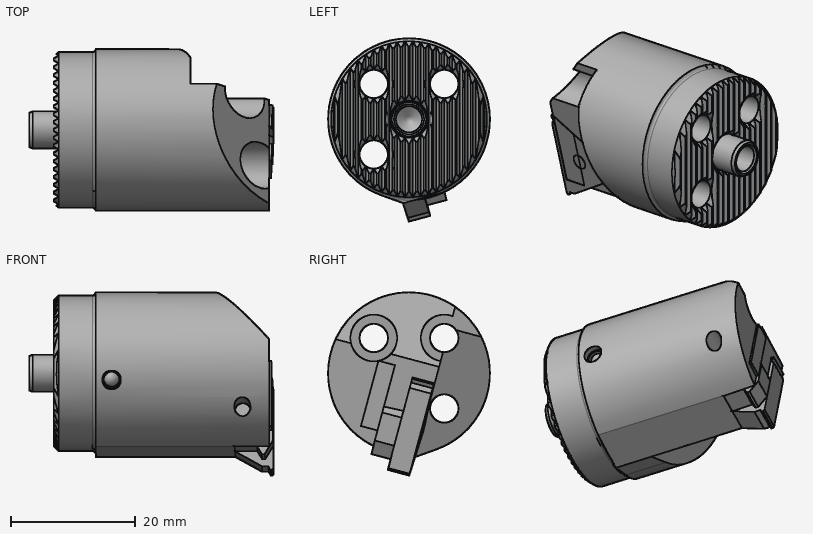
import cadquery as cq
import math

TOOTH_CREST_X = 3.93
COLLAR_EDGE_X = 10.15
BODY_START_X = 10.72
BODY_END_X = 38.52
CLEAR_X = 41.25

BODY_RADIUS = 13.0
COLLAR_RADIUS = 25.0 / 2
SECTION_TILT = 15.0
RAKE_V = 4.4
UNDERSIDE_U = -12.75

TOOTH_PITCH = 1.25
TOOTH_CREST_WIDTH = 0.3
TOOTH_FLANK_ANGLE = 30.0
TOOTH_DEPTH = (TOOTH_PITCH - TOOTH_CREST_WIDTH) / 2 / math.tan(math.radians(TOOTH_FLANK_ANGLE))
TOOTH_ROOT_X = TOOTH_CREST_X + TOOTH_DEPTH

POCKET_END_X = 25.9
POCKET_END_U = 8.65
POCKET_RAMP_ANGLE = 22.5
SLOPE_START_X = 29.5
SLOPE_ANGLE = 50.0

BOLT_OFFSET = 5.65
BOLT_HOLE_DIAMETER = 4.5
COUNTERBORE_DIAMETER = 7.5

PIN_DIAMETER = 6.0
PIN_TIP_DIAMETER = 5.5
PIN_CHAMFER_LENGTH = 0.55
PIN_BORE_DIAMETER = 4.2
PIN_MOUTH_DIAMETER = 4.83
PIN_BORE_DEPTH = 7.85
PIN_BORE_CONE = 118.0
PIN_SEAT_X = 11.8

PLUG_X = 13.25
PLUG_TILT = 4.9
PLUG_MOUTH_DIAMETER = 3.0
PLUG_DIAMETER = 2.5
PLUG_TOP_RADIUS = 11.98
PLUG_LENGTH = 3.93
PLUG_MOUTH_DEPTH = 1.18

SEAT_X = 34.6
SEAT_U = -8.2
LEAD_ANGLE = 1.5
INSCRIBED_RADIUS = 4.67
INSERT_THICKNESS = 3.57
SHIM_THICKNESS = 3.22
SEAT_PAD_THICKNESS = 2.75
SEAT_PAD_REACH = 4.5
SEAT_PAD_HALF_LENGTH = 5.4
SEAT_PAD_CENTRE_U = 3.45
CORNER_COUNT = 3

SCREW_DIAMETER = 2.5
SCREW_LENGTH = 11.65
SCREW_ACCESS_DIAMETER = 2.6


def tan_deg(angle):
    return math.tan(math.radians(angle))


TILT_COS = math.cos(math.radians(SECTION_TILT))
TILT_SIN = math.sin(math.radians(SECTION_TILT))
V_DIRECTION = cq.Vector(0, TILT_COS, -TILT_SIN)


def cross_section(x):
    """Workplane across the axis, in the tilted directions V and U."""
    return cq.Workplane(cq.Plane(origin=(x, 0, 0), xDir=V_DIRECTION, normal=(1, 0, 0)))


def side_plane(v):
    """Workplane in the directions X and U, facing away from the rake side."""
    return cq.Workplane(cq.Plane(origin=V_DIRECTION * v, xDir=(1, 0, 0), normal=V_DIRECTION * -1))


def seat_plane(depth):
    """Workplane parallel to the insert's top face, at a depth below it."""
    centre = V_DIRECTION * RAKE_V + cq.Vector(SEAT_X, SEAT_U * TILT_SIN, SEAT_U * TILT_COS)
    plane = cq.Plane(origin=centre, xDir=(1, 0, 0), normal=V_DIRECTION * -1)
    return cq.Workplane(plane.rotated((0, -LEAD_ANGLE, 0))).workplane(offset=depth)



def make_turned_blank():
    """Collar and body turned about X, with a concave blend between them."""
    return (
        cq.Workplane("XY")
        .moveTo(TOOTH_CREST_X, 0)
        .lineTo(TOOTH_CREST_X, COLLAR_RADIUS - TOOTH_DEPTH)
        .lineTo(TOOTH_ROOT_X, COLLAR_RADIUS)
        .lineTo(COLLAR_EDGE_X, COLLAR_RADIUS)
        .tangentArcPoint((BODY_START_X, BODY_RADIUS), relative=False)
        .lineTo(BODY_END_X, BODY_RADIUS)
        .lineTo(BODY_END_X, 0)
        .close()
        .revolve(360, (0, 0, 0), (1, 0, 0))
    )


def make_heel():
    """Keel that fills the corner between the body, the rake face and the underside."""
    corner_distance = math.hypot(RAKE_V, UNDERSIDE_U)
    corner_angle = math.atan2(UNDERSIDE_U, RAKE_V)
    tangent_angle = corner_angle + math.acos(BODY_RADIUS / corner_distance)
    tangent_point = (BODY_RADIUS * math.cos(tangent_angle), BODY_RADIUS * math.sin(tangent_angle))
    underside_edge_v = -math.sqrt(BODY_RADIUS**2 - UNDERSIDE_U**2)
    return (
        cross_section(BODY_START_X)
        .polyline([(0, 0), tangent_point, (RAKE_V, UNDERSIDE_U), (underside_edge_v, UNDERSIDE_U)])
        .close()
        .extrude(BODY_END_X - BODY_START_X)
    )


def make_seat_pad():
    """Low pad behind the shim that stands out of the nose face."""
    return (
        seat_plane(INSERT_THICKNESS + SHIM_THICKNESS)
        .center(0, SEAT_PAD_CENTRE_U)
        .rect(2 * SEAT_PAD_REACH, 2 * SEAT_PAD_HALF_LENGTH)
        .extrude(SEAT_PAD_THICKNESS)
    )


def make_below_underside():
    """Sliver of the round body that lies below the flat underside."""
    return (
        cross_section(BODY_START_X)
        .center(0, UNDERSIDE_U - BODY_RADIUS / 2)
        .rect(2 * BODY_RADIUS, BODY_RADIUS)
        .extrude(BODY_END_X - BODY_START_X)
    )



def make_serrations():
    """V grooves along Z that leave a tooth crest on the axis."""
    groove_count = 2 * math.ceil(COLLAR_RADIUS / TOOTH_PITCH)
    groove_half_width = (TOOTH_PITCH - TOOTH_CREST_WIDTH) / 2
    centres = [(0, (i - (groove_count - 1) / 2) * TOOTH_PITCH) for i in range(groove_count)]
    groove = (
        cq.Workplane("XY")
        .polyline([
            (TOOTH_CREST_X, -groove_half_width),
            (TOOTH_ROOT_X, 0),
            (TOOTH_CREST_X, groove_half_width),
        ])
        .close()
        .extrude(COLLAR_RADIUS, both=True)
        .val()
    )
    return cq.Workplane("XY").pushPoints(centres).eachpoint(lambda place: groove.moved(place))


def make_face_hole(y, z, diameter, end_x):
    """Hole from the serrated face, with a 45 degree countersink as deep as the teeth."""
    radius = diameter / 2
    return (
        cq.Workplane(cq.Plane(origin=(0, y, z), xDir=(1, 0, 0), normal=(0, 0, 1)))
        .polyline([
            (TOOTH_CREST_X, 0),
            (TOOTH_CREST_X, radius + TOOTH_DEPTH),
            (TOOTH_ROOT_X, radius),
            (end_x, radius),
            (end_x, 0),
        ])
        .close()
        .revolve(360, (0, 0, 0), (1, 0, 0))
    )


def make_counterbore(y, z):
    """Recess that runs from the pocket end out through the nose."""
    return (
        cq.Workplane("YZ", origin=(POCKET_END_X, y, z))
        .circle(COUNTERBORE_DIAMETER / 2)
        .extrude(CLEAR_X - POCKET_END_X)
    )


def make_chip_pocket():
    """Everything above the rake face, from a ramped end to the nose."""
    bottom_u = -2 * BODY_RADIUS
    top_u = 2 * BODY_RADIUS
    ramp_foot_x = POCKET_END_X - (POCKET_END_U - bottom_u) * tan_deg(POCKET_RAMP_ANGLE)
    return (
        side_plane(RAKE_V)
        .polyline([
            (ramp_foot_x, bottom_u),
            (POCKET_END_X, POCKET_END_U),
            (POCKET_END_X, top_u),
            (CLEAR_X, top_u),
            (CLEAR_X, bottom_u),
        ])
        .close()
        .extrude(-2 * BODY_RADIUS)
    )


def make_nose_slope():
    """Wedge that slopes the top of the body down to the nose."""
    drop = (BODY_END_X - SLOPE_START_X) * tan_deg(SLOPE_ANGLE)
    return (
        side_plane(0)
        .polyline([
            (SLOPE_START_X, BODY_RADIUS),
            (BODY_END_X, BODY_RADIUS),
            (BODY_END_X, BODY_RADIUS - drop),
        ])
        .close()
        .extrude(BODY_RADIUS, both=True)
    )



def make_pin():
    """Centre pin with a chamfered tip and a blind bore chamfered at its mouth."""
    radius = PIN_DIAMETER / 2
    bore_radius = PIN_BORE_DIAMETER / 2
    mouth_chamfer = PIN_MOUTH_DIAMETER / 2 - bore_radius
    cone_length = bore_radius / tan_deg(PIN_BORE_CONE / 2)
    return (
        cq.Workplane("XY")
        .polyline([
            (mouth_chamfer, bore_radius),
            (0, PIN_MOUTH_DIAMETER / 2),
            (0, PIN_TIP_DIAMETER / 2),
            (PIN_CHAMFER_LENGTH, radius),
            (PIN_SEAT_X, radius),
            (PIN_SEAT_X, 0),
            (PIN_BORE_DEPTH + cone_length, 0),
            (PIN_BORE_DEPTH, bore_radius),
        ])
        .close()
        .revolve(360, (0, 0, 0), (1, 0, 0))
    )


def plug_plane(radius):
    """Workplane facing outward along the plug bore, at a distance from the head axis."""
    tilt = math.radians(PLUG_TILT)
    outward = cq.Vector(0, -math.cos(tilt), -math.sin(tilt))
    centre = outward * radius + cq.Vector(PLUG_X, 0, 0)
    return cq.Workplane(cq.Plane(origin=centre, xDir=(1, 0, 0), normal=outward))


def make_plug():
    """Plug that ends in a half ball."""
    ball_radius = PLUG_DIAMETER / 2
    shoulder = plug_plane(PLUG_TOP_RADIUS - ball_radius)
    return shoulder.circle(ball_radius).extrude(-PLUG_LENGTH).union(shoulder.sphere(ball_radius))


def make_plug_bore():
    """Bore that fits the plug and widens just inside the body's surface."""
    ball_base = PLUG_TOP_RADIUS - PLUG_DIAMETER / 2
    foot = plug_plane(ball_base - PLUG_LENGTH)
    bore = foot.circle(PLUG_DIAMETER / 2).extrude(BODY_RADIUS - ball_base + PLUG_LENGTH)
    mouth = plug_plane(BODY_RADIUS - PLUG_MOUTH_DEPTH)
    return bore.union(mouth.circle(PLUG_MOUTH_DIAMETER / 2).extrude(PLUG_MOUTH_DEPTH))


def lower_edge_x(u):
    """X, from the seat centre, where the triangle's lower left edge reaches level u."""
    half_corner = math.radians(30)
    return -(INSCRIBED_RADIUS + u * math.cos(half_corner)) / math.sin(half_corner)


def three_cornered_outline(corner):
    """Outline made of one corner's points repeated around the seat centre."""
    points = []
    for i in range(CORNER_COUNT):
        turn = 2 * math.pi * i / CORNER_COUNT
        for x, u in corner:
            points.append((
                x * math.cos(turn) - u * math.sin(turn),
                x * math.sin(turn) + u * math.cos(turn),
            ))
    return points


def make_insert():
    """Triangular insert with a small cutting nib at each blunt corner."""
    corner_u = -7.03
    nib_u = -7.65
    nib_root_x = 3.85
    nib_tip_left_x = 4.2
    nib_tip_right_x = 4.45
    nib_shoulder_u = -7.35
    corner = [
        (lower_edge_x(corner_u), corner_u),
        (nib_root_x, corner_u),
        (nib_tip_left_x, nib_u),
        (nib_tip_right_x, nib_u),
        (INSCRIBED_RADIUS, nib_shoulder_u),
    ]
    return seat_plane(0).polyline(three_cornered_outline(corner)).close().extrude(INSERT_THICKNESS)


def make_shim():
    """Triangular shim with clipped corners, each with a blunt 60 degree point."""
    clip_u = UNDERSIDE_U - SEAT_U
    point_u = -5.9
    point_left_x = 2.9
    point_right_x = 3.38
    flank_slope = tan_deg(30)
    corner = [
        (lower_edge_x(clip_u), clip_u),
        (point_left_x - (clip_u - point_u) * flank_slope, clip_u),
        (point_left_x, point_u),
        (point_right_x, point_u),
        (INSCRIBED_RADIUS, point_u + (INSCRIBED_RADIUS - point_right_x) / flank_slope),
    ]
    outline = three_cornered_outline(corner)
    return seat_plane(INSERT_THICKNESS).polyline(outline).close().extrude(SHIM_THICKNESS)


def make_insert_screw():
    """Plain screw through the insert and shim, flush with the insert's top face."""
    return seat_plane(0).circle(SCREW_DIAMETER / 2).extrude(SCREW_LENGTH)


def make_screw_access():
    """Hole from the end of the insert screw out through the side of the body."""
    return seat_plane(SCREW_LENGTH).circle(SCREW_ACCESS_DIAMETER / 2).extrude(BODY_RADIUS)



pin = make_pin()
plug = make_plug()
insert_screw = make_insert_screw()
insert = make_insert().cut(insert_screw)
shim = make_shim().cut(insert_screw)

head = make_turned_blank().cut(make_below_underside()).union(make_heel()).union(make_seat_pad())
head = head.cut(make_serrations())
for y_side, z_side in [(1, 1), (-1, 1), (1, -1)]:
    hole_y = y_side * BOLT_OFFSET
    hole_z = z_side * BOLT_OFFSET
    head = head.cut(make_face_hole(hole_y, hole_z, BOLT_HOLE_DIAMETER, CLEAR_X))
for hole_y in [-BOLT_OFFSET, BOLT_OFFSET]:
    head = head.cut(make_counterbore(hole_y, BOLT_OFFSET))
head = head.cut(make_face_hole(0, 0, PIN_DIAMETER, PIN_SEAT_X))
head = head.cut(make_chip_pocket()).cut(make_nose_slope())
head = head.cut(make_plug_bore()).cut(make_screw_access())
head = head.cut(insert).cut(shim).cut(insert_screw)

result = cq.Compound.makeCompound([
    head.val(),
    pin.val(),
    plug.val(),
    insert.val(),
    shim.val(),
    insert_screw.val(),
])